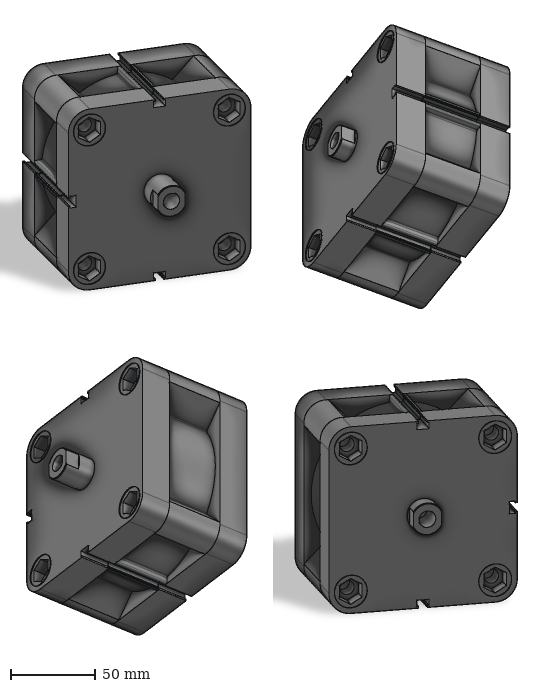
import cadquery as cq
import math

side = 116.0
cover_thickness = 20.0
barrel_length = 37.1
housing_length = barrel_length + 2 * cover_thickness
rod_reach_left = 10.0
rod_reach_right = 20.0

corner_radius = 13.6
bolt_offset = side / 2 - corner_radius
bolt_hole_diameter = 8.8
hex_flats = 13.9
hex_depth = 8.4
recess_diameter = 20.2
recess_depth = 0.6

rod_diameter = 20.0
rod_length = rod_reach_left + housing_length + rod_reach_right
rod_chamfer = 0.5
wrench_flats = 17.0
wrench_flat_length = 8.9
tap_diameter = 10.2
tap_depth = 19.7
drill_point_angle = 118.0

tube_radius = 53.5
web_width = 21.1
web_fillet = 0.8
rail_width = 10.4
rail_fillet = 1.0

slot_depth = 5.0
slot_mouth = 5.6
mouth_chamfer = 0.3
cover_slot_width = 7.5
cover_slot_lip = 1.2
barrel_slot_width = 6.7
barrel_slot_lip = 1.5
slot_angles = (0, 90, 180)


def box_on_top(start, length, width, bottom, top):
    """Bar along X, centred on Y = 0, between two heights."""
    height = top - bottom
    return (
        cq.Workplane("YZ", origin=(start, 0, 0))
        .center(0, (bottom + top) / 2)
        .rect(width, height)
        .extrude(length)
    )


def turned(shape, angle):
    return shape.rotate((0, 0, 0), (1, 0, 0), angle)


def cut_slots(body, start, length, width, lip):
    """Cut a T-shaped sensor slot into each slotted side."""
    top = side / 2
    mouth = box_on_top(start, length, slot_mouth, top - slot_depth, top)
    channel = box_on_top(start, length, width, top - slot_depth, top - lip)
    slot = mouth.union(channel)
    for angle in slot_angles:
        body = body.cut(turned(slot, angle))
    return body


def cylinders_at_bolts(start, length, diameter):
    return (
        cq.Workplane("YZ", origin=(start, 0, 0))
        .rect(2 * bolt_offset, 2 * bolt_offset, forConstruction=True)
        .vertices()
        .circle(diameter / 2)
        .extrude(length)
    )


def rod_bore(start, length):
    return cq.Workplane("YZ", origin=(start, 0, 0)).circle(rod_diameter / 2).extrude(length)


def hex_pockets(start):
    """Hexagonal bolt pockets with two flats facing Y."""
    hex_corners = hex_flats / math.cos(math.radians(30))
    return (
        cq.Workplane("YZ", origin=(start, 0, 0))
        .transformed(rotate=(0, 0, 90))
        .rect(2 * bolt_offset, 2 * bolt_offset, forConstruction=True)
        .vertices()
        .polygon(6, hex_corners)
        .extrude(hex_depth)
    )


def make_left_cover():
    """Cover with its outer face at X = 0."""
    cover = (
        cq.Workplane("YZ")
        .rect(side, side)
        .extrude(cover_thickness)
        .edges("|X")
        .fillet(corner_radius)
    )
    cover = cut_slots(cover, 0, cover_thickness, cover_slot_width, cover_slot_lip)
    cover = cover.cut(cylinders_at_bolts(0, cover_thickness, bolt_hole_diameter))
    cover = cover.cut(cylinders_at_bolts(0, recess_depth, recess_diameter))
    cover = cover.cut(hex_pockets(recess_depth))
    return cover.cut(rod_bore(0, cover_thickness))


def make_cover(mirrored):
    cover = make_left_cover()
    if mirrored:
        cover = cover.mirror("YZ", (housing_length / 2, 0, 0))
    return cover


def web(angle):
    """Diagonal bar across the barrel, its ends rounded about the bolt axes."""
    half_width = web_width / 2
    bolt_distance = bolt_offset * math.sqrt(2)
    tip = bolt_distance + corner_radius
    shoulder = bolt_distance + math.sqrt(corner_radius**2 - half_width**2)
    bar = (
        cq.Workplane("YZ", origin=(cover_thickness, 0, 0))
        .moveTo(-shoulder, -half_width)
        .lineTo(shoulder, -half_width)
        .threePointArc((tip, 0), (shoulder, half_width))
        .lineTo(-shoulder, half_width)
        .threePointArc((-tip, 0), (-shoulder, -half_width))
        .close()
        .extrude(barrel_length)
    )
    return turned(bar, angle)


def edge_at(y, z):
    """Selector for the edge along X that passes through (y, z)."""
    middle = cover_thickness + barrel_length / 2
    reach = 0.1
    return cq.selectors.BoxSelector(
        (middle - reach, y - reach, z - reach), (middle + reach, y + reach, z + reach)
    )


def polar(radius, angle):
    """Point (Y, Z) at an angle turned about X from +Z."""
    return -radius * math.sin(angle), radius * math.cos(angle)


def make_barrel():
    start = cover_thickness
    barrel = cq.Workplane("YZ", origin=(start, 0, 0)).circle(tube_radius).extrude(barrel_length)
    for angle in (45, 135):
        barrel = barrel.union(web(angle))
    rail = box_on_top(start, barrel_length, rail_width, 0, side / 2)
    for angle in slot_angles:
        barrel = barrel.union(turned(rail, angle))

    web_root = math.asin(web_width / 2 / tube_radius)
    for diagonal in (45, 135, 225, 315):
        for flank in (-web_root, web_root):
            y, z = polar(tube_radius, math.radians(diagonal) + flank)
            barrel = barrel.edges(edge_at(y, z)).fillet(web_fillet)

    rail_root = math.asin(rail_width / 2 / tube_radius)
    rail_shoulder = math.atan(rail_width / side)
    shoulder_radius = math.hypot(rail_width / 2, side / 2)
    for angle in slot_angles:
        for radius, flank in ((tube_radius, rail_root), (shoulder_radius, rail_shoulder)):
            for turn in (-flank, flank):
                y, z = polar(radius, math.radians(angle) + turn)
                barrel = barrel.edges(edge_at(y, z)).fillet(rail_fillet)

    barrel = cut_slots(barrel, start, barrel_length, barrel_slot_width, barrel_slot_lip)

    mouth_corner = math.atan(slot_mouth / side)
    mouth_radius = math.hypot(slot_mouth / 2, side / 2)
    for angle in slot_angles:
        for turn in (-mouth_corner, mouth_corner):
            y, z = polar(mouth_radius, math.radians(angle) + turn)
            barrel = barrel.edges(edge_at(y, z)).chamfer(mouth_chamfer)

    barrel = barrel.cut(cylinders_at_bolts(start, barrel_length, bolt_hole_diameter))
    return barrel.cut(rod_bore(start, barrel_length))


def make_rod():
    start = -rod_reach_left
    end = start + rod_length
    rod = (
        cq.Workplane("YZ", origin=(start, 0, 0))
        .circle(rod_diameter / 2)
        .extrude(rod_length)
        .faces("<X or >X")
        .edges()
        .chamfer(rod_chamfer)
    )

    for flat_start in (start, end - wrench_flat_length):
        sleeve = cq.Workplane("YZ", origin=(flat_start, 0, 0)).rect(side, side).rect(wrench_flats, side)
        rod = rod.cut(sleeve.extrude(wrench_flat_length))

    tap_radius = tap_diameter / 2
    point_length = tap_radius / math.tan(math.radians(drill_point_angle / 2))
    tap = (
        cq.Workplane("XZ", origin=(start, 0, 0))
        .polyline([(0, 0), (0, tap_radius), (tap_depth, tap_radius), (tap_depth + point_length, 0)])
        .close()
        .revolve(360, (0, 0), (1, 0))
    )
    rod = rod.cut(tap)
    return rod.cut(tap.mirror("YZ", ((start + end) / 2, 0, 0)))


covers = [make_cover(mirrored).val() for mirrored in (False, True)]
barrel = make_barrel()
rod = make_rod()
result = cq.Compound.makeCompound([*covers, barrel.val(), rod.val()])